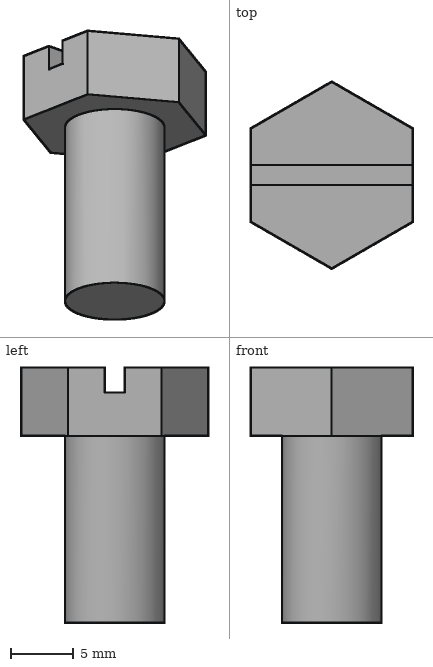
import cadquery as cq
import math

head_sides = 6
head_corner_angle = 90
width_across_flats = 13.0
width_across_corners = width_across_flats / math.cos(math.pi / head_sides)
head_height = 5.5

shank_diameter = 8.0
shank_length = 15.0

slot_width = 1.6
slot_depth = 2.0


def make_head():
    """Hexagonal prism standing on Z = 0."""
    return (
        cq.Workplane("XY")
        .transformed(rotate=(0, 0, head_corner_angle))
        .polygon(head_sides, width_across_corners)
        .extrude(head_height)
    )


def make_shank():
    """Cylinder reaching down from the head's underside."""
    return cq.Workplane("XY").circle(shank_diameter / 2).extrude(-shank_length)


def make_slot():
    """Cutter for the slot, sunk from the top of the head and longer than its width across flats."""
    return (
        cq.Workplane("XY")
        .workplane(offset=head_height)
        .rect(width_across_corners, slot_width)
        .extrude(-slot_depth)
    )


result = make_head().union(make_shank()).cut(make_slot())